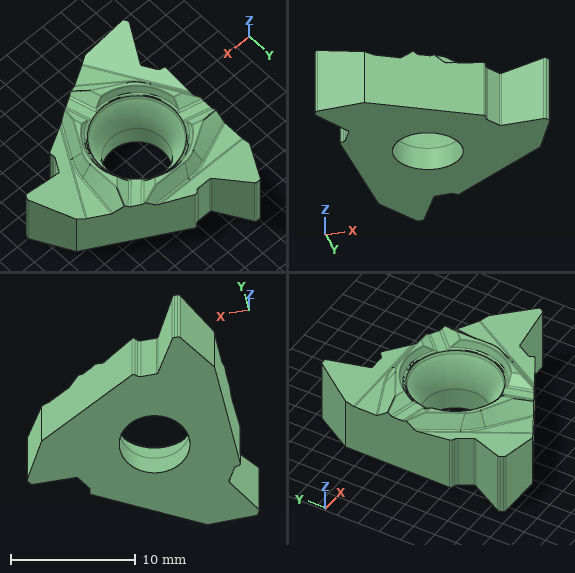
import cadquery as cq
import math

TEETH = 3
SECTOR_ANGLE = 360 / TEETH

height = 5.83
valley_z = 4.6
slot_floor_z = 5.1

inscribed_radius = 6.35
flat_angle = 60
flank_start_y = 6.53
flank_angle = 59
tip_y = 10.1
tip_right_x = -3.68
notch_y = 6.85
notch_right_x = -0.19
tip_round = 0.23
notch_round = 0.19
ramp_round = 0.38
nub_round = 0.19

rake_angle = 15
crease_y = 5.7
crease_round = 0.43

foot_y = 5.53
foot_slant_point = (-6.35, 3.55)
foot_slant_angle = 22.4
foot_bend_radius = 5.28
foot_round = 0.17
rim_y = 4.72
rim_slant_point = (-4.75, 2.8)
rim_slant_angle = 31
rim_bend_radius = 2.45
rim_round = 0.08

slot_direction = 46
slot_half_floor = 0.53
slot_half_mouth = 1.53
slot_round = 0.38
slot_length = 11.32

hole_radius = 2.85
bowl_radius = 4.32
bowl_top_radius = 3.9
bowl_top_z = 4.83
neck_radius = 4.0
ledge_radius = 4.2
ledge_round = 0.15
recess_top_radius = 4.51

overshoot = 0.19
tolerance = 0.02


def turned(point, angle):
    """Rotate a plan point about the axis."""
    x, y = point
    c = math.cos(math.radians(angle))
    s = math.sin(math.radians(angle))
    return (x * c - y * s, x * s + y * c)


def make_blank():
    """Prism with the full outline: long flats, teeth, notches and nubs."""
    run_per_rise = 1 / math.tan(math.radians(flank_angle))
    tip_left_x = -inscribed_radius + (tip_y - flank_start_y) * run_per_rise
    notch_left_x = tip_right_x + (tip_y - notch_y) * run_per_rise

    c = math.cos(math.radians(flat_angle))
    s = math.sin(math.radians(flat_angle))
    ramp = (inscribed_radius - notch_right_x * c - notch_y * s) / (c + s)

    tip_left = (tip_left_x, tip_y)
    tip_right = (tip_right_x, tip_y)
    notch_left = (notch_left_x, notch_y)
    notch_right = (notch_right_x, notch_y)
    nub = (notch_right_x + ramp, notch_y + ramp)
    sector = [(-inscribed_radius, flank_start_y), tip_left, tip_right, notch_left, notch_right, nub]
    points = [turned(p, -i * SECTOR_ANGLE) for i in range(TEETH) for p in sector]
    blank = cq.Workplane("XY").polyline(points).close().extrude(height)

    rounds = [
        (tip_left, tip_round),
        (tip_right, tip_round),
        (notch_left, notch_round),
        (notch_right, ramp_round),
        (nub, nub_round),
    ]
    for corner, radius in rounds:
        for i in range(TEETH):
            x, y = turned(corner, -i * SECTOR_ANGLE)
            near_corner = cq.selectors.BoxSelector(
                (x - tolerance, y - tolerance, 0),
                (x + tolerance, y + tolerance, height),
            )
            blank = blank.edges("|Z").edges(near_corner).fillet(radius)
    return blank


def triangle(inradius):
    """Corners of a triangle whose sides face the teeth."""
    corner = (0, -2 * inradius)
    return [turned(corner, i * SECTOR_ANGLE) for i in range(TEETH)]


def make_valley_cutter():
    """Flaring triangle: its floor cuts the valley, its sloping sides cut the raked tooth tops."""
    depth = height - valley_z + overshoot
    flare = depth / math.tan(math.radians(rake_angle))
    cutter = (
        cq.Workplane("XY", origin=(0, 0, valley_z))
        .polyline(triangle(crease_y)).close()
        .workplane(offset=depth)
        .polyline(triangle(crease_y + flare)).close()
        .loft(ruled=True)
    )
    return cutter.faces("<Z").edges().fillet(crease_round)


def plateau_section(straight_y, slant_point, slant_angle, bend_radius, z):
    """Closed outline of the plateau at one height."""
    slant_x, slant_y = slant_point
    slant = math.radians(slant_angle)
    bend_corner_x = slant_x + (straight_y - slant_y) / math.tan(slant)
    tangent = bend_radius * math.tan(slant / 2)
    bend_start = (bend_corner_x - tangent * math.cos(slant), straight_y - tangent * math.sin(slant))
    bend_end = (bend_corner_x + tangent, straight_y)
    bend_middle = (
        bend_end[0] - bend_radius * math.sin(slant / 2),
        straight_y - bend_radius * (1 - math.cos(slant / 2)),
    )

    next_x, next_y = turned(slant_point, -SECTOR_ANGLE)
    next_slope = math.tan(math.radians(slant_angle - SECTOR_ANGLE))
    corner = (next_x + (straight_y - next_y) / next_slope, straight_y)

    outline = cq.Workplane("XY", origin=(0, 0, z)).moveTo(*turned(corner, SECTOR_ANGLE))
    for i in range(TEETH):
        angle = -i * SECTOR_ANGLE
        outline = (
            outline.lineTo(*turned(bend_start, angle))
            .threePointArc(turned(bend_middle, angle), turned(bend_end, angle))
            .lineTo(*turned(corner, angle))
        )
    return outline.wire().val()


def make_plateau():
    """Raised centre with walls that twist between the valley floor and the top."""
    foot = plateau_section(foot_y, foot_slant_point, foot_slant_angle, foot_bend_radius, valley_z)
    rim = plateau_section(rim_y, rim_slant_point, rim_slant_angle, rim_bend_radius, height)
    return cq.Workplane(cq.Solid.makeLoft([foot, rim], True))


def make_slot_cutter():
    """Radial slot with sloping sides and rounded floor corners."""
    return (
        cq.Workplane("YZ")
        .polyline([
            (-slot_half_floor, slot_floor_z),
            (slot_half_floor, slot_floor_z),
            (slot_half_mouth, height),
            (-slot_half_mouth, height),
        ])
        .close()
        .extrude(slot_length)
        .faces("<Z").edges("|X").fillet(slot_round)
        .rotate((0, 0, 0), (0, 0, 1), slot_direction)
    )


def make_hole_cutter():
    """Through hole with a bulging bowl seat, a short neck, a ledge and a conical recess."""
    bowl_angle = math.acos(1 - (bowl_top_radius - hole_radius) / bowl_radius)
    bowl_bottom_z = bowl_top_z - bowl_radius * math.sin(bowl_angle)
    bowl_middle = (
        hole_radius + bowl_radius * (1 - math.cos(bowl_angle / 2)),
        bowl_bottom_z + bowl_radius * math.sin(bowl_angle / 2),
    )

    neck_arc_radius = (neck_radius - bowl_top_radius) / (1 - math.cos(bowl_angle))
    neck_end_z = bowl_top_z + neck_arc_radius * math.sin(bowl_angle)
    neck_middle = (
        neck_radius - neck_arc_radius * (1 - math.cos(bowl_angle / 2)),
        neck_end_z - neck_arc_radius * math.sin(bowl_angle / 2),
    )
    ledge_circles = cq.selectors.BoxSelector(
        (-tolerance, -tolerance, slot_floor_z - tolerance),
        (tolerance, tolerance, slot_floor_z + tolerance),
    )
    outermost = cq.selectors.RadiusNthSelector(-1)
    return (
        cq.Workplane("XZ")
        .lineTo(hole_radius, 0)
        .lineTo(hole_radius, bowl_bottom_z)
        .threePointArc(bowl_middle, (bowl_top_radius, bowl_top_z))
        .threePointArc(neck_middle, (neck_radius, neck_end_z))
        .lineTo(neck_radius, slot_floor_z)
        .lineTo(ledge_radius, slot_floor_z)
        .lineTo(recess_top_radius, height)
        .lineTo(0, height)
        .close()
        .revolve(360, (0, 0), (0, 1))
        .edges(ledge_circles)
        .edges(outermost)
        .fillet(ledge_round)
    )


def is_plateau_foot(edge):
    """True for an edge inside the outline where a plateau wall meets the valley floor."""
    middle = edge.positionAt(0.5)
    in_sectors = [turned((middle.x, middle.y), i * SECTOR_ANGLE) for i in range(TEETH)]
    on_floor = abs(middle.z - valley_z) < tolerance
    inside_flats = min(x for x, y in in_sectors) > -inscribed_radius + tolerance
    inside_crease = max(y for x, y in in_sectors) < foot_y + tolerance
    return on_floor and inside_flats and inside_crease


def is_plateau_rim(edge):
    """True for an edge of the flat top, or where a slot side runs up to the flat top."""
    ends_z = (edge.startPoint().z, edge.endPoint().z)
    return max(ends_z) > height - tolerance and min(ends_z) > slot_floor_z


blank = make_blank()
body = blank.cut(make_valley_cutter())
body = body.union(make_plateau().intersect(blank))
foot_edges = [edge for edge in body.edges().vals() if is_plateau_foot(edge)]
body = body.newObject(foot_edges).fillet(foot_round)

slot = make_slot_cutter()
for i in range(TEETH):
    body = body.cut(slot.rotate((0, 0, 0), (0, 0, 1), i * SECTOR_ANGLE))
body = body.cut(make_hole_cutter())

rim_edges = [edge for edge in body.edges().vals() if is_plateau_rim(edge)]
result = body.newObject(rim_edges).fillet(rim_round).solids()